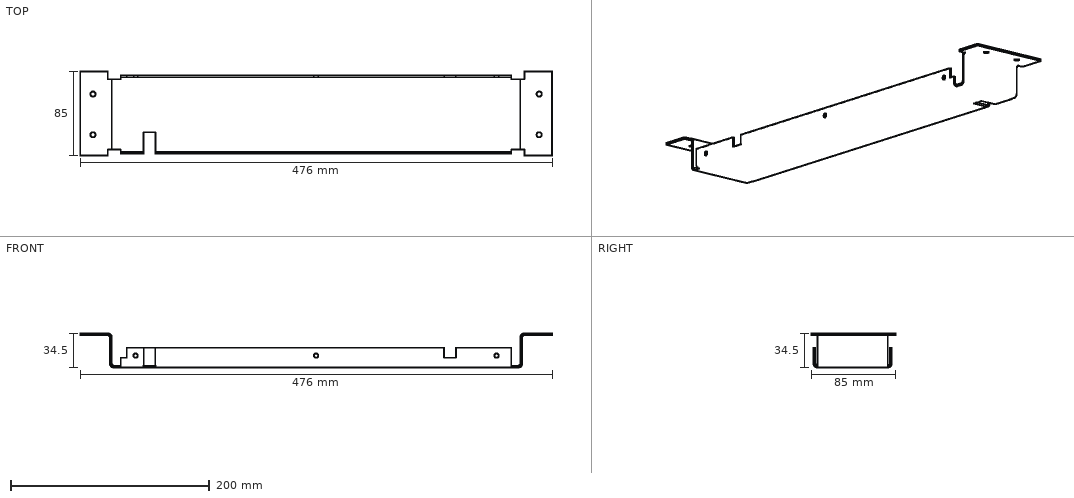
import cadquery as cq

sheet = 2.0
inner_radius = 2.0
outer_radius = inner_radius + sheet

overall_length = 476.0
overall_height = 34.5
tab_width = 85.0
tab_length = 28.0
tab_hole_diameter = 5.0
tab_hole_x = 225.0
tab_hole_spacing = 41.0

tray_width = 79.0
tray_center_y = -1.0
side_length = 394.0
side_height = 20.0
floor_width = tray_width - 2 * outer_radius
tab_bend_x = overall_length / 2 - tab_length
wall_inner_x = tab_bend_x - outer_radius
floor_half_length = wall_inner_x - inner_radius

side_hole_diameter = 4.22
side_hole_x = 182.0
side_hole_z = 12.0
step_height = 10.0
step_length = 6.0
notch_start_x = 129.0
notch_length = 12.0

slot_start_x = -174.0
slot_length = 12.0
slot_end_y = -19.0


def block(x_min, x_max, y_min, y_max, z_min, z_max):
    """Axis-aligned box between the given limits."""
    return cq.Workplane("XY").box(
        x_max - x_min, y_max - y_min, z_max - z_min, centered=False
    ).translate((x_min, y_min, z_min))


def make_floor():
    return block(
        -floor_half_length, floor_half_length,
        tray_center_y - floor_width / 2, tray_center_y + floor_width / 2,
        0, sheet,
    )


def make_end_wall():
    """End wall at +X: floor bend, upright and tab bend, swept across the floor width."""
    profile = (
        cq.Workplane("XZ")
        .moveTo(floor_half_length, 0)
        .radiusArc((floor_half_length + outer_radius, outer_radius), -outer_radius)
        .lineTo(wall_inner_x + sheet, overall_height - outer_radius)
        .radiusArc((tab_bend_x, overall_height - sheet), inner_radius)
        .lineTo(tab_bend_x, overall_height)
        .radiusArc((wall_inner_x, overall_height - outer_radius), -outer_radius)
        .lineTo(wall_inner_x, outer_radius)
        .radiusArc((floor_half_length, sheet), inner_radius)
        .close()
    )
    return profile.extrude(floor_width / 2, both=True).translate((0, tray_center_y, 0))


def make_tab():
    """Mounting tab at +X with its two screw holes."""
    tab = block(
        tab_bend_x, overall_length / 2,
        -tab_width / 2, tab_width / 2,
        overall_height - sheet, overall_height,
    )
    holes = (
        cq.Workplane("XY", origin=(tab_hole_x, tray_center_y, 0))
        .rarray(1, tab_hole_spacing, 1, 2)
        .circle(tab_hole_diameter / 2)
        .extrude(overall_height)
    )
    return tab.cut(holes)


def make_side_wall():
    """Side wall at +Y, bent up from the edge of a floor centred on Y = 0."""
    floor_edge = floor_width / 2
    outer_face = tray_width / 2
    profile = (
        cq.Workplane("YZ")
        .moveTo(floor_edge, 0)
        .radiusArc((outer_face, outer_radius), -outer_radius)
        .lineTo(outer_face, side_height)
        .lineTo(outer_face - sheet, side_height)
        .lineTo(outer_face - sheet, outer_radius)
        .radiusArc((floor_edge, sheet), inner_radius)
        .close()
    )
    return profile.extrude(side_length / 2, both=True)


def make_side_walls():
    """Both side walls with the holes, notch and end step they share, moved to the tray centre."""
    wall = make_side_wall()
    walls = wall.union(wall.mirror("XZ"))
    for x_min, length in ((-side_length / 2, step_length), (notch_start_x, notch_length)):
        walls = walls.cut(
            block(x_min, x_min + length, -tray_width, tray_width, step_height, side_height)
        )
    holes = (
        cq.Workplane("XZ", origin=(0, 0, side_hole_z))
        .rarray(side_hole_x, 1, 3, 1)
        .circle(side_hole_diameter / 2)
        .extrude(tray_width, both=True)
    )
    return walls.cut(holes).translate((0, tray_center_y, 0))


def make_slot():
    return block(
        slot_start_x, slot_start_x + slot_length,
        -tray_width, slot_end_y,
        0, side_height,
    )


end = make_end_wall().union(make_tab())
result = (
    make_floor()
    .union(end)
    .union(end.mirror("YZ"))
    .union(make_side_walls())
    .cut(make_slot())
)